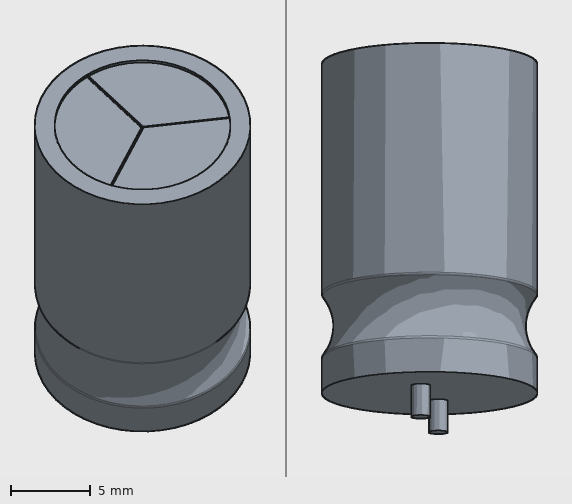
import cadquery as cq

total_height = 23.0
lead_length = 2.0
can_height = total_height - lead_length
can_radius = 6.75

groove_center_z = 4.28
groove_height = 4.02
groove_depth = 0.71
groove_edge_radius = 0.25

recess_radius = 5.5
recess_depth = 0.2
score_width = 0.1
score_depth = 0.1
score_count = 3
first_score_angle = 60

lead_diameter = 1.2
lead_pitch = 5.0


def make_can():
    """Revolve the can with an arc-shaped crimp groove, then round the groove's two edges."""
    lower_z = groove_center_z - groove_height / 2
    upper_z = groove_center_z + groove_height / 2
    can = (
        cq.Workplane("XZ")
        .lineTo(can_radius, 0)
        .lineTo(can_radius, lower_z)
        .threePointArc((can_radius - groove_depth, groove_center_z), (can_radius, upper_z))
        .lineTo(can_radius, can_height)
        .lineTo(0, can_height)
        .close()
        .revolve(360, (0, 0, 0), (0, 1, 0))
    )
    groove_edges = can.faces("%TORUS").edges("%CIRCLE")
    return groove_edges.fillet(groove_edge_radius)


def make_top_recess():
    """Shallow round recess, cut from the top face."""
    floor_plane = cq.Workplane("XY").workplane(offset=can_height - recess_depth)
    return floor_plane.circle(recess_radius).extrude(recess_depth)


def make_vent_scores():
    """Radial scores, evenly spaced and meeting at the center of the recess floor."""
    score_plane = cq.Workplane("XY").workplane(offset=can_height - recess_depth - score_depth)
    scores = score_plane.circle(score_width / 2).extrude(score_depth)
    for index in range(score_count):
        angle = first_score_angle + index * 360 / score_count
        score = score_plane.center(recess_radius / 2, 0).rect(recess_radius, score_width).extrude(score_depth)
        scores = scores.union(score.rotate((0, 0, 0), (0, 0, 1), angle))
    disc = score_plane.circle(recess_radius).extrude(score_depth)
    return scores.intersect(disc)


def make_leads():
    """Two round leads below the can."""
    return (
        cq.Workplane("XY")
        .pushPoints([(-lead_pitch / 2, 0), (lead_pitch / 2, 0)])
        .circle(lead_diameter / 2)
        .extrude(-lead_length)
    )


result = make_can().cut(make_top_recess()).cut(make_vent_scores()).union(make_leads())